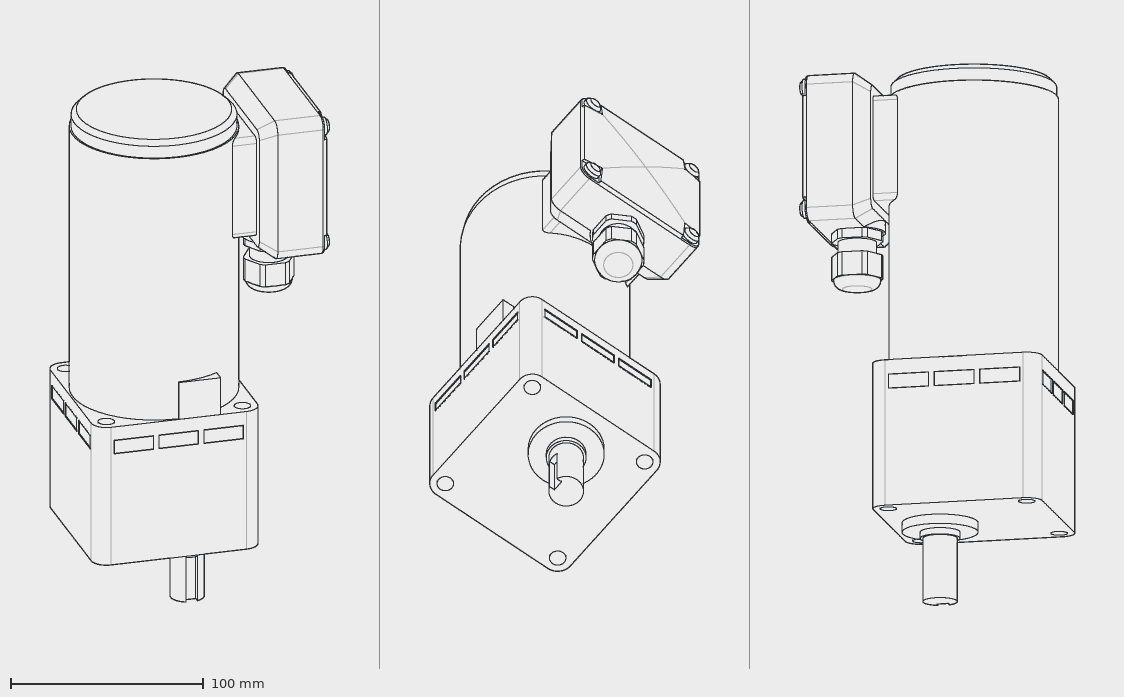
import cadquery as cq
import math

TOTAL_HEIGHT = 276
TOTAL_DEPTH = 130.0

GEAR_SIDE = 90.0
GEAR_HEIGHT = 77.5
GEAR_CORNER_RADIUS = 8.3
MOUNT_HOLE_DIAMETER = 8.5
MOUNT_HOLE_PITCH = 73.7

RECESS_COUNT = 3
RECESS_WIDTH = 21.3
RECESS_HEIGHT = 7.5
RECESS_PITCH = 24.3
RECESS_TOP_GAP = 7.7
RECESS_DEPTH = 0.5

SHAFT_OFFSET = 18.0
SHAFT_DIAMETER = 18.0
SHAFT_TIP_Z = -42.0
FLANGE_DIAMETER = 39.5
FLANGE_HEIGHT = 5.0
COLLAR_DIAMETER = 20.7
COLLAR_HEIGHT = 3.3
KEYWAY_WIDTH = 6.0
KEYWAY_DEPTH = 3.5
KEYWAY_LENGTH = 25.0

MOTOR_DIAMETER = 88.0
MOTOR_TOP_Z = TOTAL_HEIGHT + SHAFT_TIP_Z
CAP_DIAMETER = 86.0
CAP_HEIGHT = 9.5
CAP_CHAMFER = 2.8

BLOCK_LENGTH = 22.5
BLOCK_HEIGHT = 20.7

BOX_SIDE = 77.3
BOX_CORNER_RADIUS = 5.8
BOX_CENTER_Z = MOTOR_TOP_Z - BOX_SIDE / 2
BOX_BACK_Y = 47.2
BOX_TAPER_DEPTH = 8.3
BOX_TAPER_INSET = 5.8
BOX_BACK_CORNER_RADIUS = 4.5
BOX_FRONT_Y = 80.0
BOX_OUTER_Y = TOTAL_DEPTH - GEAR_SIDE / 2

NECK_SIDE = 55.8
NECK_CORNER_RADIUS = 3.0

LID_RIM_INSET = 0.8
LID_RIM_HEIGHT = 2.2
NOTCH_SIDE = 11.5
NOTCH_FLOOR = 0.8
SCREW_DIAMETER = 9.5
SCREW_INSET = 6.3
SCREW_HEIGHT = 4.5
SCREW_CHAMFER = 1.7

GLAND_Y = 62.0
GLAND_BOSS_DIAMETER = 29.3
GLAND_BOSS_HEIGHT = 13.8
HEX_ACROSS_FLATS = 24.5
HEX_ROUND_DIAMETER = 26.8
HEX_HALF_SECTOR = 30
HEX_BASE_HEIGHT = 5.0
GLAND_STEM_DIAMETER = 20.1
GLAND_STEM_HEIGHT = 7.5
NUT_HEIGHT = 12.5
NUT_DOME_HEIGHT = 5.0
NUT_DOME_RADIUS = 4.7


def cylinder(x, y, z, diameter, height):
    """Vertical cylinder from (x, y, z), upwards for a positive height and downwards for a negative one."""
    return cq.Workplane("XY", origin=(x, y, z)).circle(diameter / 2).extrude(height)


def rounded_square(side, radius):
    """Square outline with rounded corners, centred on the origin."""
    return cq.Sketch().rect(side, side).vertices().fillet(radius)


def box_plane(y):
    """Workplane facing +Y, centred on the terminal box."""
    return cq.Workplane(cq.Plane(origin=(0, y, BOX_CENTER_Z), xDir=(-1, 0, 0), normal=(0, 1, 0)))


def make_side_recesses():
    """Cutters for the row of recesses on the -Y face."""
    return (
        cq.Workplane("XY")
        .rarray(RECESS_PITCH, 2.8, RECESS_COUNT, 1)
        .box(RECESS_WIDTH, 2 * RECESS_DEPTH, RECESS_HEIGHT)
        .translate((0, -GEAR_SIDE / 2, GEAR_HEIGHT - RECESS_TOP_GAP - RECESS_HEIGHT / 2))
    )


def make_output_shaft():
    """Flange, collar and keyed shaft below the housing."""
    flange = cylinder(0, SHAFT_OFFSET, 0, FLANGE_DIAMETER, -FLANGE_HEIGHT)
    collar = cylinder(0, SHAFT_OFFSET, 0, COLLAR_DIAMETER, -FLANGE_HEIGHT - COLLAR_HEIGHT)
    shaft = cylinder(0, SHAFT_OFFSET, 0, SHAFT_DIAMETER, SHAFT_TIP_Z)
    keyway = (
        cq.Workplane("XY", origin=(SHAFT_DIAMETER / 2, SHAFT_OFFSET, SHAFT_TIP_Z))
        .rect(2 * KEYWAY_DEPTH, KEYWAY_WIDTH)
        .extrude(KEYWAY_LENGTH)
    )
    return flange.union(collar).union(shaft.cut(keyway))


def make_gearhead():
    """Rounded square housing with mounting holes, side recesses and output shaft."""
    outline = rounded_square(GEAR_SIDE, GEAR_CORNER_RADIUS)
    housing = cq.Workplane("XY").placeSketch(outline).extrude(GEAR_HEIGHT)
    housing = (
        housing.faces(">Z")
        .workplane(origin=(0, 0, GEAR_HEIGHT))
        .rect(MOUNT_HOLE_PITCH, MOUNT_HOLE_PITCH, forConstruction=True)
        .vertices()
        .hole(MOUNT_HOLE_DIAMETER)
    )
    recesses = make_side_recesses()
    for quarter_turn in range(4):
        housing = housing.cut(recesses.rotate((0, 0, 0), (0, 0, 1), 90 * quarter_turn))
    return housing.union(make_output_shaft())


def make_motor_case():
    """Case, chamfered end cap and side block."""
    cap_base_z = MOTOR_TOP_Z - CAP_HEIGHT
    case = cylinder(0, 0, GEAR_HEIGHT, MOTOR_DIAMETER, cap_base_z - GEAR_HEIGHT)
    cap = cylinder(0, 0, cap_base_z, CAP_DIAMETER, CAP_HEIGHT).faces(">Z").chamfer(CAP_CHAMFER)
    block = cq.Workplane("XY").box(GEAR_SIDE / 2, BLOCK_LENGTH, BLOCK_HEIGHT, centered=False)
    return case.union(cap).union(block.translate((0, 0, GEAR_HEIGHT)))


def make_arch(width, base_height, rise):
    """Prism along Z, centred on Z = 0, standing on the XZ plane with an arched +Y side."""
    top = base_height + rise
    return (
        cq.Workplane("XY")
        .moveTo(-width / 2, 0)
        .lineTo(-width / 2, base_height)
        .threePointArc((0, top), (width / 2, base_height))
        .lineTo(width / 2, 0)
        .close()
        .extrude(width / 2, both=True)
    )


def make_lid():
    """Bevelled rim, panel crowned along both X and Z, and screws in the notched corners."""
    bevel_angle = math.degrees(math.atan2(LID_RIM_INSET, LID_RIM_HEIGHT))
    rim = (
        box_plane(BOX_FRONT_Y)
        .placeSketch(rounded_square(BOX_SIDE, BOX_CORNER_RADIUS))
        .extrude(LID_RIM_HEIGHT, taper=bevel_angle)
    )
    panel_side = BOX_SIDE - 2 * LID_RIM_INSET
    thickness = BOX_OUTER_Y - BOX_FRONT_Y
    arch = make_arch(panel_side, LID_RIM_HEIGHT, thickness - LID_RIM_HEIGHT)
    crossed_arch = arch.rotate((0, 0, 0), (0, 1, 0), 90)
    crown = arch.intersect(crossed_arch).translate((0, BOX_FRONT_Y, BOX_CENTER_Z))
    panel = (
        box_plane(BOX_FRONT_Y)
        .placeSketch(rounded_square(panel_side, BOX_CORNER_RADIUS - LID_RIM_INSET))
        .extrude(thickness)
        .intersect(crown)
    )
    notches = (
        box_plane(BOX_FRONT_Y + NOTCH_FLOOR)
        .rect(BOX_SIDE - NOTCH_SIDE, BOX_SIDE - NOTCH_SIDE, forConstruction=True)
        .vertices()
        .rect(NOTCH_SIDE, NOTCH_SIDE)
        .extrude(thickness)
    )
    screws = (
        box_plane(BOX_FRONT_Y)
        .rect(BOX_SIDE - 2 * SCREW_INSET, BOX_SIDE - 2 * SCREW_INSET, forConstruction=True)
        .vertices()
        .circle(SCREW_DIAMETER / 2)
        .extrude(SCREW_HEIGHT)
        .faces(">Y")
        .chamfer(SCREW_CHAMFER)
    )
    return rim.union(panel).cut(notches).union(screws)


def make_terminal_box():
    """Neck, tapered back, square body and lid."""
    neck = box_plane(0).placeSketch(rounded_square(NECK_SIDE, NECK_CORNER_RADIUS)).extrude(BOX_BACK_Y)
    taper_end_y = BOX_BACK_Y + BOX_TAPER_DEPTH
    back_outline = rounded_square(BOX_SIDE - 2 * BOX_TAPER_INSET, BOX_BACK_CORNER_RADIUS)
    body_outline = rounded_square(BOX_SIDE, BOX_CORNER_RADIUS)
    taper = (
        box_plane(BOX_BACK_Y)
        .placeSketch(back_outline, body_outline.moved(cq.Location(cq.Vector(0, 0, BOX_TAPER_DEPTH))))
        .loft()
    )
    body = box_plane(taper_end_y).placeSketch(body_outline).extrude(BOX_FRONT_Y - taper_end_y)
    return neck.union(taper).union(body).union(make_lid())


def rounded_hex(top_z, height):
    """Hexagon with turned corners, a flat towards -X, reaching down from top_z."""
    across_corners = HEX_ACROSS_FLATS / math.cos(math.radians(HEX_HALF_SECTOR))
    hexagon = cq.Workplane("XY").polygon(6, across_corners).extrude(-height)
    hexagon = hexagon.rotate((0, 0, 0), (0, 0, 1), HEX_HALF_SECTOR)
    turned = cylinder(0, 0, 0, HEX_ROUND_DIAMETER, -height)
    return hexagon.intersect(turned).translate((0, GLAND_Y, top_z))


def make_cable_gland():
    """Boss in the box, hexagon base, round stem and nut with a domed end."""
    box_bottom_z = BOX_CENTER_Z - BOX_SIDE / 2
    stem_top_z = box_bottom_z - HEX_BASE_HEIGHT
    nut_top_z = stem_top_z - GLAND_STEM_HEIGHT
    boss = cylinder(0, GLAND_Y, box_bottom_z, GLAND_BOSS_DIAMETER, GLAND_BOSS_HEIGHT)
    base = rounded_hex(box_bottom_z, HEX_BASE_HEIGHT)
    stem = cylinder(0, GLAND_Y, stem_top_z, GLAND_STEM_DIAMETER, -GLAND_STEM_HEIGHT)
    nut = rounded_hex(nut_top_z, NUT_HEIGHT)
    dome = cylinder(0, GLAND_Y, nut_top_z - NUT_HEIGHT, HEX_ACROSS_FLATS, -NUT_DOME_HEIGHT)
    dome = dome.faces("<Z").edges().fillet(NUT_DOME_RADIUS)
    return boss.union(base).union(stem).union(nut).union(dome)


gearhead = make_gearhead()
motor = make_motor_case().union(make_terminal_box()).union(make_cable_gland())

result = cq.Compound.makeCompound([gearhead.val(), motor.val()])